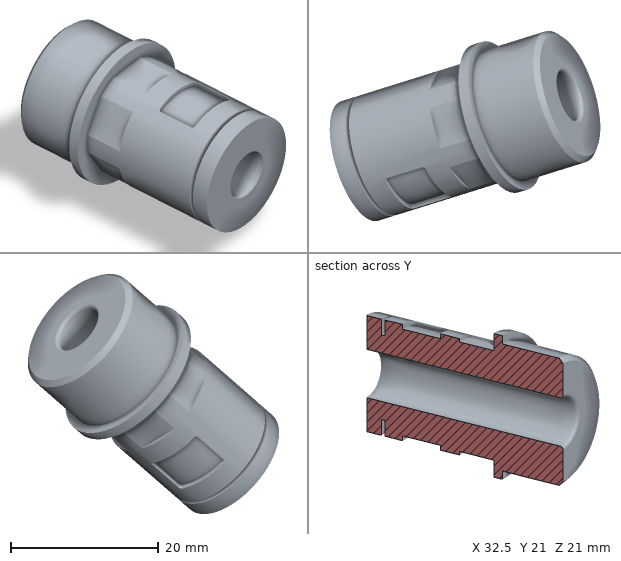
import cadquery as cq

total_length = 32.5
plug_diameter = 18.6
plug_chamfer = 0.68
flange_diameter = 21.0
flange_start = 10.0
flange_end = 11.55
barrel_diameter = 17.0

groove_diameter = 12.4
groove_start = 29.5
groove_end = 30.03

bore_diameter = 7.0
bore_mouth_radius = 0.5

across_flats = 16.0
flat_count = 6
flats_end = 17.1

pocket_start = 20.35
pocket_end = 26.5
pocket_width = 8.0
pocket_corner_radius = 0.4
pocket_floor_diameter = 15.6


def cylinder(diameter, start, end):
    """Solid cylinder on the X axis between two stations."""
    return cq.Workplane("YZ", origin=(start, 0, 0)).circle(diameter / 2).extrude(end - start)


def make_body():
    plug = cylinder(plug_diameter, 0, flange_start).faces("<X").chamfer(plug_chamfer)
    flange = cylinder(flange_diameter, flange_start, flange_end)
    barrel = cylinder(barrel_diameter, flange_end, total_length)
    return plug.union(flange).union(barrel)


def make_groove():
    core = cylinder(groove_diameter, groove_start, groove_end)
    return cylinder(flange_diameter, groove_start, groove_end).cut(core)


def make_flat_cutter():
    """Material outside one flat, on the +Z side."""
    length = flats_end - flange_end
    return cq.Workplane("XY", origin=(flange_end, 0, across_flats / 2)).box(
        length, barrel_diameter, barrel_diameter, centered=(False, True, False)
    )


def make_pocket_cutter():
    """Rounded rectangle running through both sides, with the barrel core kept."""
    length = pocket_end - pocket_start
    block = cq.Workplane("XY", origin=(pocket_start, 0, 0)).box(
        length, pocket_width, flange_diameter, centered=(False, True, True)
    )
    block = block.edges("|Z").fillet(pocket_corner_radius)
    return block.cut(cylinder(pocket_floor_diameter, 0, total_length))


def make_bore():
    """Bore cutter, including the flared ring left by the rounded mouth."""
    radius = bore_diameter / 2
    mouth = (
        cq.Workplane("XY")
        .moveTo(0, 0)
        .lineTo(0, radius + bore_mouth_radius)
        .radiusArc((bore_mouth_radius, radius), -bore_mouth_radius)
        .lineTo(bore_mouth_radius, 0)
        .close()
        .revolve(360, (0, 0, 0), (1, 0, 0))
    )
    return cylinder(bore_diameter, 0, total_length).union(mouth)


result = make_body().cut(make_groove())
for index in range(flat_count):
    angle = index * 360 / flat_count
    result = result.cut(make_flat_cutter().rotate((0, 0, 0), (1, 0, 0), angle))
result = result.cut(make_pocket_cutter()).cut(make_bore())